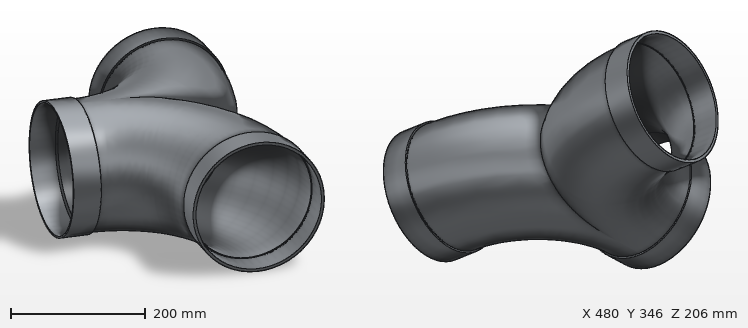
import cadquery as cq

overall_length = 480.0
overall_depth = 346.0
collar_outer_diameter = 206.0
collar_length = 43.0
inlet_seat_length = 3.0
outlet_socket_diameter = 197.0
pipe_outer_diameter = 200.0
pipe_inner_diameter = 194.0

outlet_x = overall_length / 2
outlet_y = overall_depth - collar_outer_diameter / 2
bend_radius = outlet_y - collar_length
inlet_socket_depth = collar_length - inlet_seat_length


def branch_bends(diameter):
    """Two mirrored solid quarter bends that merge at the inlet."""
    bend = (
        cq.Workplane("XZ", origin=(0, collar_length, 0))
        .circle(diameter / 2)
        .revolve(90, (bend_radius, 5), (bend_radius, 0))
    )
    return bend.union(bend.mirror("YZ"))


def inlet_cylinder(diameter):
    """Solid cylinder along the inlet collar."""
    return cq.Workplane("XZ").circle(diameter / 2).extrude(-collar_length)


def inlet_socket():
    """Inlet bore the size of the pipe's outside, with a conical seat narrowing to its inside."""
    profile = [
        (0, 0),
        (pipe_outer_diameter / 2, 0),
        (pipe_outer_diameter / 2, inlet_socket_depth),
        (pipe_inner_diameter / 2, collar_length),
        (0, collar_length),
    ]
    return cq.Workplane("XY").polyline(profile).close().revolve(360, (0, 0), (0, 1))


def outlet_cylinders(diameter):
    """Solid cylinders reaching inward from the rims of both outlets."""
    outlet = cq.Workplane("YZ", origin=(outlet_x, outlet_y, 0)).circle(diameter / 2).extrude(-collar_length)
    return outlet.union(outlet.mirror("YZ"))


body = (
    branch_bends(pipe_outer_diameter)
    .union(inlet_cylinder(collar_outer_diameter))
    .union(outlet_cylinders(collar_outer_diameter))
)

bores = (
    branch_bends(pipe_inner_diameter)
    .union(inlet_socket())
    .union(outlet_cylinders(outlet_socket_diameter))
)

result = body.cut(bores)